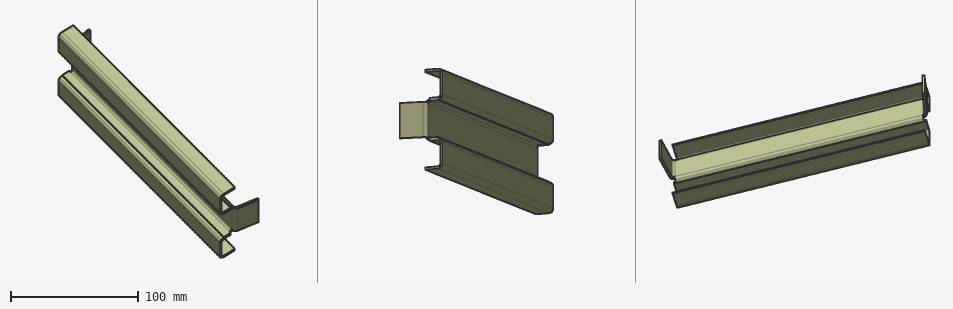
import cadquery as cq
import math

overall_length = 217.0
rail_length = 206.1
overall_height = 80.0
overall_depth = 35.0
rail_depth = 15.0
sheet = 2.0
inner_bend_radius = 2.0
web_flat_height = 25.4
wall_thickness = 2.5
square_bend = 90.0
tab_bend = 80.0
tab_height = 28.2

bend_radius = inner_bend_radius + sheet / 2
outer_bend_radius = inner_bend_radius + sheet
tab_angle = math.radians(tab_bend)
web_y = rail_depth - sheet / 2
wall_bottom = web_flat_height / 2 + inner_bend_radius
wall_top = wall_bottom + wall_thickness
wall_flat = rail_depth - 2 * outer_bend_radius
face_flat = overall_height / 2 - wall_top + sheet - 2 * outer_bend_radius
rim_flat = rail_depth - outer_bend_radius

tab_bend_depth = outer_bend_radius - inner_bend_radius * math.cos(tab_angle)
tab_flat = (overall_depth - (rail_depth - sheet) - tab_bend_depth) / math.sin(tab_angle)
tab_reach = outer_bend_radius * math.sin(tab_angle) + tab_flat * math.cos(tab_angle)
web_half_length = overall_length / 2 - tab_reach


def strip_outline(plane, start, heading, steps):
    """Closed outline of a bent sheet, following ("flat", length) and ("bend", degrees) steps.

    Positive bends turn counterclockwise from the heading (in degrees).
    """
    u, v = start
    angle = math.radians(heading)

    def side_point(center_u, center_v, direction, side):
        reach = side * sheet / 2
        return (center_u - reach * math.sin(direction), center_v + reach * math.cos(direction))

    stations = []
    for kind, amount in steps:
        begin = (u, v, angle)
        if kind == "flat":
            u += amount * math.cos(angle)
            v += amount * math.sin(angle)
            middle = None
        else:
            turn = math.copysign(1, amount)
            center_u = u - turn * bend_radius * math.sin(angle)
            center_v = v + turn * bend_radius * math.cos(angle)
            positions = []
            for share in (0.5, 1.0):
                direction = angle + math.radians(amount) * share
                positions.append((
                    center_u + turn * bend_radius * math.sin(direction),
                    center_v - turn * bend_radius * math.cos(direction),
                    direction,
                ))
            middle, (u, v, angle) = positions
        stations.append((begin, middle, (u, v, angle)))

    def draw(outline, middle, end, side):
        if middle is None:
            return outline.lineTo(*side_point(*end, side))
        return outline.threePointArc(side_point(*middle, side), side_point(*end, side))

    outline = cq.Workplane(plane).moveTo(*side_point(*stations[0][0], 1))
    for _, middle, end in stations:
        outline = draw(outline, middle, end, 1)
    outline = outline.lineTo(*side_point(*stations[-1][2], -1))
    for begin, middle, _ in reversed(stations):
        outline = draw(outline, middle, begin, -1)
    return outline.close()


def make_channel():
    """Upper forward channel: inner wall, face and outer rim."""
    channel = strip_outline(
        "YZ",
        (outer_bend_radius + wall_flat, wall_top - sheet / 2),
        180,
        [
            ("flat", wall_flat),
            ("bend", -square_bend),
            ("flat", face_flat),
            ("bend", -square_bend),
            ("flat", rim_flat),
        ],
    ).extrude(rail_length / 2, both=True)
    wall = cq.Workplane("XY").box(rail_length, wall_flat, wall_thickness)
    wall = wall.translate((0, rail_depth / 2, (wall_bottom + wall_top) / 2))
    return channel.union(wall)


def make_web():
    """Upper half of the web, bent forward to the channel wall and stopping where the tabs begin."""
    return strip_outline(
        "YZ",
        (web_y, 0),
        90,
        [("flat", web_flat_height / 2), ("bend", square_bend)],
    ).extrude(web_half_length, both=True)


def make_tab():
    """Rearward tab at the +X end."""
    return strip_outline(
        "XY",
        (web_half_length, web_y),
        0,
        [("bend", tab_bend), ("flat", tab_flat)],
    ).extrude(tab_height / 2, both=True)


tab = make_tab()
upper_half = make_channel().union(make_web())
rail = upper_half.union(upper_half.mirror("XY"))
result = rail.union(tab).union(tab.mirror("YZ"))